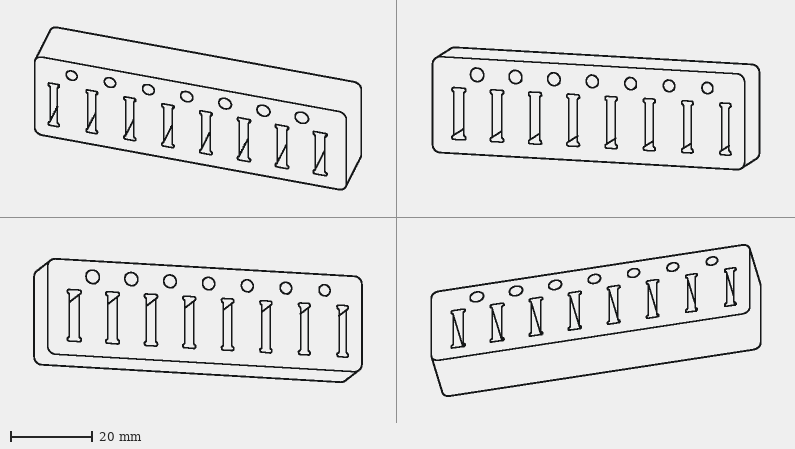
import cadquery as cq

LENGTH = 80.0
DEPTH = 12.7
HEIGHT = 24.0
CORNER_RADIUS = 2.0

HOLE_COUNT = 7
HOLE_PITCH = 9.8
FIRST_HOLE_X = -30.5
HOLE_Z = 8.0
FIRST_HOLE_DIAMETER = 2.8
FIFTH_HOLE_DIAMETER = 3.2
SIZE_STEP = (FIFTH_HOLE_DIAMETER - FIRST_HOLE_DIAMETER) / 4

SLOT_COUNT = 8
SLOT_PITCH = 9.8
SLOT_Z = -2.0
SLOT_HEIGHT = 13.0
FIRST_SLOT_WIDTH = 1.8
FIRST_SLOT_LEFT_WALL = -36.0
FIRST_SLOT_X = FIRST_SLOT_LEFT_WALL + FIRST_SLOT_WIDTH / 2
RELIEF_RADIUS = 0.5
NECK_RADIUS = RELIEF_RADIUS


def make_block():
    block = cq.Workplane("XY").box(LENGTH, DEPTH, HEIGHT)
    return block.edges("|Y").fillet(CORNER_RADIUS)


def rear_plane():
    """Plane on the rear (+Y) face, whose normal points toward -Y."""
    return cq.Workplane("XZ", origin=(0, DEPTH / 2, 0))


def make_hole(index):
    diameter = FIRST_HOLE_DIAMETER + index * SIZE_STEP
    x = FIRST_HOLE_X + index * HOLE_PITCH
    return rear_plane().center(x, HOLE_Z).circle(diameter / 2).extrude(DEPTH)


def make_slot(index):
    """Upright slot with a round relief centred on its side wall at each corner, then blended in."""
    width = FIRST_SLOT_WIDTH + index * SIZE_STEP
    slot = rear_plane().rect(width, SLOT_HEIGHT).extrude(DEPTH)

    relief_spacing = SLOT_HEIGHT - 2 * RELIEF_RADIUS
    corners = rear_plane().rect(width, relief_spacing, forConstruction=True).vertices()
    slot = slot.union(corners.circle(RELIEF_RADIUS).extrude(DEPTH))

    neck_zone = cq.selectors.BoxSelector(
        (-width, -DEPTH, -relief_spacing / 2 + RELIEF_RADIUS / 2),
        (width, DEPTH, relief_spacing / 2 - RELIEF_RADIUS / 2),
    )
    slot = slot.edges("|Y").edges(neck_zone).fillet(NECK_RADIUS)

    x = FIRST_SLOT_X + index * SLOT_PITCH
    return slot.translate((x, 0, SLOT_Z))


result = make_block()

for hole_index in range(HOLE_COUNT):
    result = result.cut(make_hole(hole_index))

for slot_index in range(SLOT_COUNT):
    result = result.cut(make_slot(slot_index))